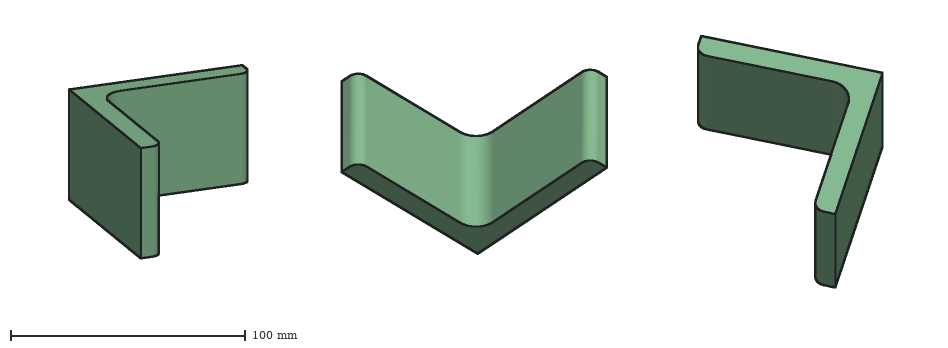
import cadquery as cq

leg_length = 80.0
leg_thickness = 10.0
height = 50.0
root_radius = leg_thickness
toe_radius = leg_thickness / 2

profile = [
    (0, 0),
    (leg_length, 0),
    (leg_length, leg_thickness),
    (leg_thickness, leg_thickness),
    (leg_thickness, leg_length),
    (0, leg_length),
]
angle = cq.Workplane("XY").polyline(profile).close().extrude(height)


def round_edge(body, x, y, radius):
    """Fillet the vertical edge that passes through (x, y)."""
    edge = cq.selectors.NearestToPointSelector((x, y, height / 2))
    return body.edges("|Z").edges(edge).fillet(radius)


angle = round_edge(angle, leg_thickness, leg_thickness, root_radius)

angle = round_edge(angle, leg_length, leg_thickness, toe_radius)
angle = round_edge(angle, leg_thickness, leg_length, toe_radius)

result = angle